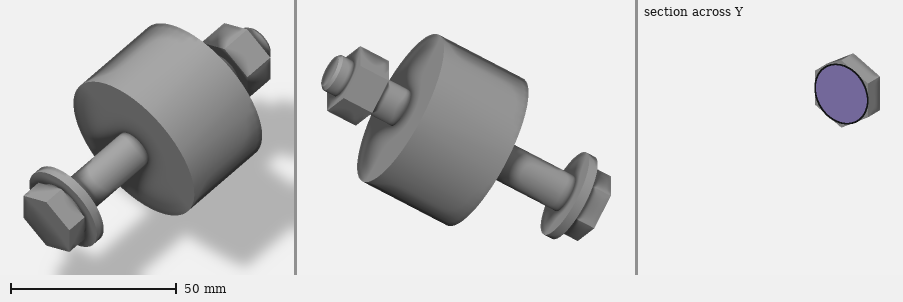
import cadquery as cq
import math

total_length = 93.8

shank_diameter = 12.0
tip_chamfer = 0.9

hex_across_flats = 19.0
head_height = 6.75
collar_diameter = hex_across_flats
collar_thickness = 0.7

washer_diameter = 27.9
washer_thickness = 3.0

roller_diameter = 50.0
roller_width = 30.0
washer_to_roller = 28.3

nut_height = 10.1
tip_beyond_nut = 4.9

head_start = -total_length / 2
tip_end = total_length / 2
collar_start = head_start + head_height
washer_start = collar_start + collar_thickness
roller_start = washer_start + washer_thickness + washer_to_roller
nut_start = tip_end - tip_beyond_nut - nut_height


def section_plane(start):
    """Plane across the bolt axis, extruding toward +Y, with local x along Z."""
    return cq.Workplane(cq.Plane(origin=(0, start, 0), xDir=(0, 0, 1), normal=(0, 1, 0)))


def cylinder(start, length, diameter):
    return section_plane(start).circle(diameter / 2).extrude(length)


def hexagon(start, length):
    """Hexagonal prism with corners pointing up and down in Z."""
    across_corners = hex_across_flats / math.cos(math.radians(30))
    return section_plane(start).polygon(6, across_corners).extrude(length)


shank = cylinder(head_start, total_length, shank_diameter).faces(">Y").chamfer(tip_chamfer)
head = hexagon(head_start, head_height)
collar = cylinder(collar_start, collar_thickness, collar_diameter)
washer = cylinder(washer_start, washer_thickness, washer_diameter)
roller = cylinder(roller_start, roller_width, roller_diameter)
nut = hexagon(nut_start, nut_height)

result = shank.union(head).union(collar).union(washer).union(roller).union(nut)